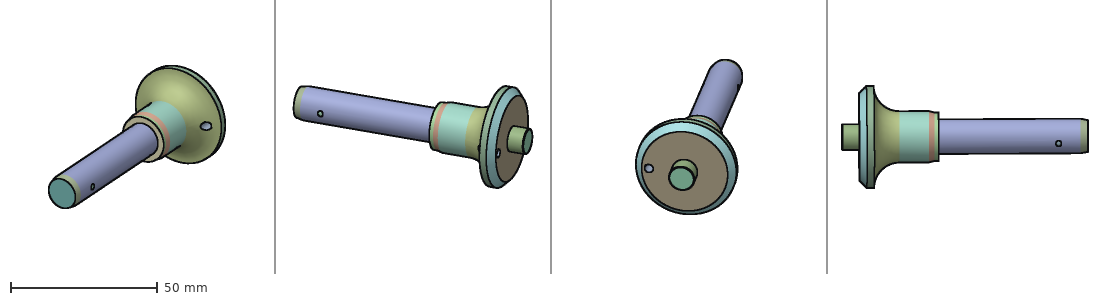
import cadquery as cq


overall_length = 84.2

handle_diameter = 35.0
neck_diameter = 17.7
collar_diameter = 16.7
collar_length = 1.4
collar_taper_length = 1.9
neck_length = 10.1
rim_length = 2.5
rim_chamfer = 2.5

button_diameter = 8.9
button_length = 5.9
button_chamfer = 0.25

shank_diameter = 11.95
tip_diameter = 10.95
tip_length = 2.6

ball_radius = 1.7
ball_protrusion = 0.295
ball_distance_from_tip = 10.1

lanyard_hole_diameter = 3.0
lanyard_hole_offset = 12.5

handle_radius = handle_diameter / 2
neck_radius = neck_diameter / 2
collar_radius = collar_diameter / 2
button_radius = button_diameter / 2
shank_radius = shank_diameter / 2
flare_radius = handle_radius - neck_radius

neck_start = collar_length + collar_taper_length
flare_start = neck_start + neck_length
rim_start = flare_start + flare_radius
rim_end = rim_start + rim_length
handle_end = rim_end + rim_chamfer
button_end = handle_end + button_length
tip_end = button_end - overall_length


def make_turned_body():
    """Revolve the half profile of shank, handle and button about Y."""
    profile = (
        cq.Workplane("XY")
        .moveTo(0, tip_end)
        .lineTo(tip_diameter / 2, tip_end)
        .lineTo(shank_radius, tip_end + tip_length)
        .lineTo(shank_radius, 0)
        .lineTo(collar_radius, 0)
        .lineTo(collar_radius, collar_length)
        .lineTo(neck_radius, neck_start)
        .lineTo(neck_radius, flare_start)
        .radiusArc((handle_radius, rim_start), flare_radius)
        .lineTo(handle_radius, rim_end)
        .lineTo(handle_radius - rim_chamfer, handle_end)
        .lineTo(button_radius, handle_end)
        .lineTo(button_radius, button_end - button_chamfer)
        .lineTo(button_radius - button_chamfer, button_end)
        .lineTo(0, button_end)
        .close()
    )
    return profile.revolve(360, (0, 0, 0), (0, 1, 0))


def make_locking_ball(side):
    """Ball partly sunk in the shank; side is -1 or 1 along X."""
    center_offset = shank_radius + ball_protrusion - ball_radius
    center = (side * center_offset, tip_end + ball_distance_from_tip, 0)
    return cq.Workplane("XY").sphere(ball_radius).translate(center)


def make_lanyard_hole():
    """Cutter along Y through the flared flange only."""
    return (
        cq.Workplane("XZ", origin=(lanyard_hole_offset, handle_end, 0))
        .circle(lanyard_hole_diameter / 2)
        .extrude(handle_end)
    )


result = make_turned_body()
for side in (-1, 1):
    result = result.union(make_locking_ball(side))
result = result.cut(make_lanyard_hole())